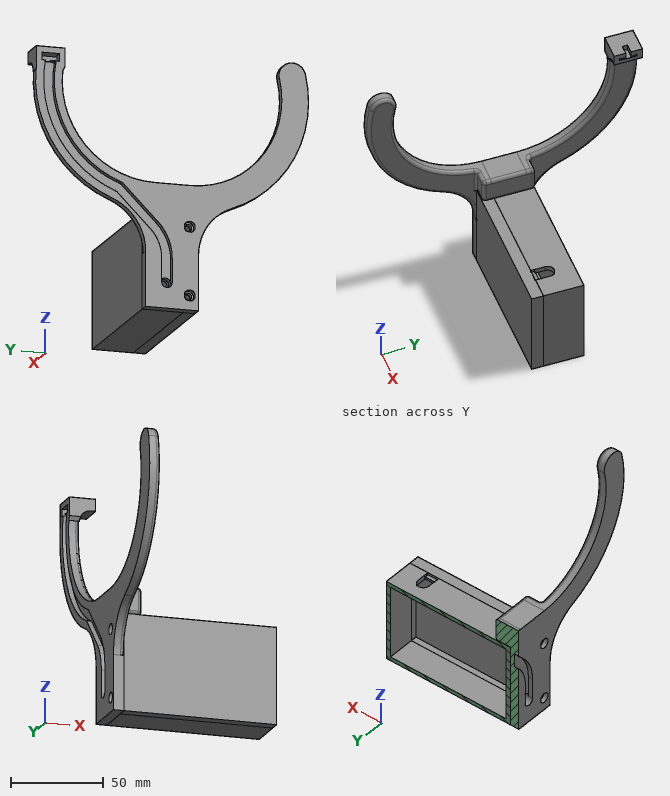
import cadquery as cq
import math


PLATE_THICKNESS = 6.0
STEM_WIDTH = 30.0
TOTAL_WIDTH = 154.5
TOTAL_HEIGHT = 142.7
ARC_CENTER_Y = 10.0
ARC_CENTER_Z = 121.5
INNER_RADIUS = 52.0
STEM_FILLET = 30.0
EDGE_ROUND = 2.0

PAD_REACH = 16.0
PAD_CORNER_FILLET = 1.5

HEAD_REACH = 14.8
HEAD_INNER_Y = 60.5
HEAD_OUTER_Y = 76.8
HEAD_TOP_Z = 140.0
HEAD_LIP_Z = 133.3
HEAD_FILLET = 6.0
HEAD_CORNER_WIDTH = 1.2
HEAD_CORNER_HEIGHT = 2.3
NOTCH_WIDTH = 3.0
NOTCH_DEPTH = 5.4
POCKET_WIDTH = 9.9
POCKET_BOTTOM_Z = 132.5
POCKET_TOP_Z = 136.7
POCKET_DEPTH = 4.0
SLIT_HEIGHT = 1.0

GROOVE_WIDTH = 6.0
GROOVE_DEPTH = 3.0
GROOVE_START_Y = 3.0
GROOVE_START_Z = 14.5
GROOVE_BEND_RADIUS = 25.0
GROOVE_KINK_Y = 29.8

SCREW_Y = -10.0
SCREW_LOW_Z = 8.2
SCREW_HIGH_Z = 46.5
SCREW_HEAD_DIAMETER = 6.0
SCREW_HEAD_DEPTH = 3.0
SCREW_CLEARANCE_DIAMETER = 4.0
SCREW_THREAD_DIAMETER = 3.5
SCREW_THREAD_DEPTH = 10.0

TOTAL_DEPTH = 92.3
BOX_HEIGHT = 54.5
BOX_WALL = 3.0
COVER_THICKNESS = 6.8
COVER_FLOOR = 5.3
LIP_HEIGHT = 2.3
TOP_SLOT_WIDTH = 7.5
TOP_SLOT_X = 76.0
TOP_SLOT_CENTER_Y = 0.2

TINY = 0.02

STEM_HALF = STEM_WIDTH / 2
OUTER_RADIUS = TOTAL_WIDTH / 2 - ARC_CENTER_Y
MID_RADIUS = (INNER_RADIUS + OUTER_RADIUS) / 2
TIP_RADIUS = (OUTER_RADIUS - INNER_RADIUS) / 2
TIP_ANGLE = math.asin((TOTAL_HEIGHT - TIP_RADIUS - ARC_CENTER_Z) / MID_RADIUS)
NECK_DISTANCE = OUTER_RADIUS + STEM_FILLET
NECK_ANGLE = -math.acos((STEM_HALF + STEM_FILLET - ARC_CENTER_Y) / NECK_DISTANCE)
STEM_TOP_Z = ARC_CENTER_Z + NECK_DISTANCE * math.sin(NECK_ANGLE)
CRADLE_Z = ARC_CENTER_Z - INNER_RADIUS
HEAD_BOTTOM_Z = HEAD_LIP_Z - HEAD_FILLET
HEAD_CENTER_Y = (HEAD_INNER_Y + HEAD_OUTER_Y) / 2
SLIT_BOTTOM_Z = POCKET_TOP_Z - SLIT_HEIGHT
SPLIT_Y = COVER_THICKNESS - STEM_HALF
LIP_TOP_Y = SPLIT_Y + LIP_HEIGHT
LIP_INSET = BOX_WALL / 2


def arm_point(radius, angle, side):
    """Point (Y, Z) on an arm; the angle is taken from the arm's outward horizontal."""
    y = side * (ARC_CENTER_Y + radius * math.cos(angle))
    return y, ARC_CENTER_Z + radius * math.sin(angle)


def block(x_range, y_range, z_range):
    """Axis-aligned box between the given limits."""
    limits = (x_range, y_range, z_range)
    size = [high - low for low, high in limits]
    start = [low for low, high in limits]
    return cq.Workplane("XY").box(*size, centered=False).translate(tuple(start))


def cylinder_x(diameter, y, z, x_start, length):
    """Round bar along X."""
    return cq.Workplane("YZ", origin=(x_start, y, z)).circle(diameter / 2).extrude(length)




def arms_blank():
    """Both arms and their necks, before rounding; the +Y arm stops where the head begins."""
    half_turn = math.pi + NECK_ANGLE / 2
    fillet_mid_y = STEM_HALF + STEM_FILLET + STEM_FILLET * math.cos(half_turn)
    fillet_mid_z = STEM_TOP_Z + STEM_FILLET * math.sin(half_turn)

    outer_end = math.asin((HEAD_BOTTOM_Z - ARC_CENTER_Z) / OUTER_RADIUS)
    inner_end = math.asin((HEAD_BOTTOM_Z - ARC_CENTER_Z) / INNER_RADIUS)
    tip_center = arm_point(MID_RADIUS, TIP_ANGLE, -1)
    tip_crown = (
        tip_center[0] + TIP_RADIUS * math.sin(TIP_ANGLE),
        tip_center[1] + TIP_RADIUS * math.cos(TIP_ANGLE),
    )
    mid_angle = -math.pi / 4
    return (
        cq.Workplane("YZ")
        .moveTo(-STEM_HALF, STEM_TOP_Z)
        .lineTo(STEM_HALF, STEM_TOP_Z)
        .threePointArc((fillet_mid_y, fillet_mid_z), arm_point(OUTER_RADIUS, NECK_ANGLE, 1))
        .threePointArc(arm_point(OUTER_RADIUS, NECK_ANGLE / 2, 1), arm_point(OUTER_RADIUS, outer_end, 1))
        .lineTo(*arm_point(INNER_RADIUS, inner_end, 1))
        .threePointArc(arm_point(INNER_RADIUS, mid_angle, 1), (ARC_CENTER_Y, CRADLE_Z))
        .lineTo(-ARC_CENTER_Y, CRADLE_Z)
        .threePointArc(arm_point(INNER_RADIUS, mid_angle, -1), arm_point(INNER_RADIUS, TIP_ANGLE, -1))
        .threePointArc(tip_crown, arm_point(OUTER_RADIUS, TIP_ANGLE, -1))
        .threePointArc(arm_point(OUTER_RADIUS, NECK_ANGLE / 2, -1), arm_point(OUTER_RADIUS, NECK_ANGLE, -1))
        .threePointArc((-fillet_mid_y, fillet_mid_z), (-STEM_HALF, STEM_TOP_Z))
        .close()
        .extrude(PLATE_THICKNESS)
    )


def pad_blank():
    """Rest pad whose top follows the cradle."""
    pad_rise = INNER_RADIUS - math.sqrt(INNER_RADIUS**2 - (STEM_HALF - ARC_CENTER_Y) ** 2)
    half_y = (STEM_HALF + ARC_CENTER_Y) / 2
    half_rise = INNER_RADIUS - math.sqrt(INNER_RADIUS**2 - (half_y - ARC_CENTER_Y) ** 2)
    return (
        cq.Workplane("YZ")
        .moveTo(-STEM_HALF, BOX_HEIGHT)
        .lineTo(STEM_HALF, BOX_HEIGHT)
        .lineTo(STEM_HALF, CRADLE_Z + pad_rise)
        .threePointArc((half_y, CRADLE_Z + half_rise), (ARC_CENTER_Y, CRADLE_Z))
        .lineTo(-ARC_CENTER_Y, CRADLE_Z)
        .threePointArc((-half_y, CRADLE_Z + half_rise), (-STEM_HALF, CRADLE_Z + pad_rise))
        .close()
        .extrude(PAD_REACH)
    )


def rounded_arms():
    """Arms and pad with rounded front edges."""
    arms = arms_blank().union(pad_blank())
    corners = cq.selectors.BoxSelector(
        (PLATE_THICKNESS - TINY, -STEM_HALF - TINY, BOX_HEIGHT),
        (PLATE_THICKNESS + TINY, STEM_HALF + TINY, CRADLE_Z + EDGE_ROUND),
    )
    arms = arms.edges(corners).edges("|Z").fillet(PAD_CORNER_FILLET)
    plate_front = cq.selectors.BoxSelector(
        (PLATE_THICKNESS - TINY, -TOTAL_WIDTH, 0),
        (PLATE_THICKNESS + TINY, TOTAL_WIDTH, TOTAL_HEIGHT),
    )
    plate_arcs = arms.edges(plate_front).edges("%CIRCLE")
    pad_sides = cq.selectors.BoxSelector(
        (PLATE_THICKNESS + TINY, -TOTAL_WIDTH, CRADLE_Z),
        (PAD_REACH - TINY, TOTAL_WIDTH, TOTAL_HEIGHT),
    )
    cradle_seams = cq.selectors.BoxSelector(
        (PLATE_THICKNESS, -ARC_CENTER_Y - TINY, 0),
        (PAD_REACH - TINY, ARC_CENTER_Y + TINY, TOTAL_HEIGHT),
    )
    pad_top_sides = arms.edges(pad_sides - cradle_seams).edges("not |Z")
    pad_front = arms.faces(">X").edges("not <Z")
    arms = plate_arcs.add(pad_top_sides).add(pad_front).fillet(EDGE_ROUND)
    return arms.cut(pad_underside_cut())


def pad_underside_cut():
    """Material taken off to round the bottom edges of the pad, in front of its corner fillets."""
    pad_width = (-STEM_HALF, STEM_HALF)
    layer = block(
        (PLATE_THICKNESS + PAD_CORNER_FILLET, PAD_REACH), pad_width, (BOX_HEIGHT, BOX_HEIGHT + EDGE_ROUND)
    )
    rounded_pad = block((0, PAD_REACH), pad_width, (BOX_HEIGHT, CRADLE_Z))
    rounded_pad = rounded_pad.edges("(>X and |Z) or (<Z and (not <X))").fillet(EDGE_ROUND)
    return layer.cut(rounded_pad)


def stem():
    """Lower part of the plate, with sharp edges."""
    return block((0, PLATE_THICKNESS), (-STEM_HALF, STEM_HALF), (0, STEM_TOP_Z))


def head():
    """Overhanging head with a concave underside and a bevelled inner lower corner."""
    middle = math.sqrt(0.5) * HEAD_FILLET
    arc_center_x = PLATE_THICKNESS + HEAD_FILLET
    solid = (
        cq.Workplane("XZ", origin=(0, HEAD_OUTER_Y, 0))
        .moveTo(0, HEAD_BOTTOM_Z)
        .lineTo(PLATE_THICKNESS, HEAD_BOTTOM_Z)
        .threePointArc((arc_center_x - middle, HEAD_BOTTOM_Z + middle), (arc_center_x, HEAD_LIP_Z))
        .lineTo(HEAD_REACH, HEAD_LIP_Z)
        .lineTo(HEAD_REACH, HEAD_TOP_Z)
        .lineTo(0, HEAD_TOP_Z)
        .close()
        .extrude(HEAD_OUTER_Y - HEAD_INNER_Y)
    )
    bevel = (
        cq.Workplane("YZ")
        .moveTo(HEAD_INNER_Y, HEAD_BOTTOM_Z)
        .lineTo(HEAD_INNER_Y + HEAD_CORNER_WIDTH, HEAD_BOTTOM_Z)
        .lineTo(HEAD_INNER_Y, HEAD_BOTTOM_Z + HEAD_CORNER_HEIGHT)
        .close()
        .extrude(HEAD_REACH)
    )
    return solid.cut(bevel)


def head_openings():
    """Pocket in the back of the head, the slit through it, and the notch down to the slit."""
    half_pocket = POCKET_WIDTH / 2
    pocket_y = (HEAD_CENTER_Y - half_pocket, HEAD_CENTER_Y + half_pocket)
    pocket = block((0, POCKET_DEPTH), pocket_y, (POCKET_BOTTOM_Z, POCKET_TOP_Z))
    slit = block((0, HEAD_REACH), pocket_y, (SLIT_BOTTOM_Z, POCKET_TOP_Z))
    notch = block(
        (HEAD_REACH - NOTCH_DEPTH, HEAD_REACH),
        (HEAD_CENTER_Y - NOTCH_WIDTH / 2, HEAD_CENTER_Y + NOTCH_WIDTH / 2),
        (SLIT_BOTTOM_Z, HEAD_TOP_Z),
    )
    return pocket.union(slit).union(notch)


def cable_groove():
    """Groove that climbs the stem, slants to the +Y arm and follows its middle to the head."""
    kink_angle = -math.acos((GROOVE_KINK_Y - ARC_CENTER_Y) / MID_RADIUS)
    kink_y, kink_z = arm_point(MID_RADIUS, kink_angle, 1)
    end_angle = math.asin((POCKET_BOTTOM_Z - ARC_CENTER_Z) / MID_RADIUS)
    corner_z = kink_z - (kink_y - GROOVE_START_Y)
    blend = GROOVE_BEND_RADIUS * math.tan(math.pi / 8)
    bend_end_y = GROOVE_START_Y + blend * math.sqrt(0.5)
    bend_end_z = corner_z + blend * math.sqrt(0.5)
    bend_mid_y = GROOVE_START_Y + GROOVE_BEND_RADIUS * (1 - math.cos(math.pi / 8))
    bend_mid_z = corner_z - blend + GROOVE_BEND_RADIUS * math.sin(math.pi / 8)
    lower_path = (
        cq.Workplane("YZ")
        .moveTo(GROOVE_START_Y, GROOVE_START_Z)
        .lineTo(GROOVE_START_Y, corner_z - blend)
        .threePointArc((bend_mid_y, bend_mid_z), (bend_end_y, bend_end_z))
        .lineTo(kink_y, kink_z)
    )
    lower = (
        cq.Workplane("XY", origin=(GROOVE_DEPTH / 2, GROOVE_START_Y, GROOVE_START_Z))
        .rect(GROOVE_DEPTH, GROOVE_WIDTH)
        .sweep(lower_path)
    )
    inner = MID_RADIUS - GROOVE_WIDTH / 2
    outer = MID_RADIUS + GROOVE_WIDTH / 2
    mid_angle = (kink_angle + end_angle) / 2
    upper = (
        cq.Workplane("YZ")
        .moveTo(*arm_point(inner, kink_angle, 1))
        .threePointArc(arm_point(inner, mid_angle, 1), arm_point(inner, end_angle, 1))
        .lineTo(*arm_point(outer, end_angle, 1))
        .threePointArc(arm_point(outer, mid_angle, 1), arm_point(outer, kink_angle, 1))
        .close()
        .extrude(GROOVE_DEPTH)
    )
    kink = cylinder_x(GROOVE_WIDTH, kink_y, kink_z, 0, GROOVE_DEPTH)
    return lower.union(upper).union(kink)


def cable_hole():
    """Hole from the foot of the groove, through the plate and the end wall of the box."""
    return cylinder_x(GROOVE_WIDTH, GROOVE_START_Y, GROOVE_START_Z, 0, PLATE_THICKNESS + BOX_WALL)


def make_bracket():
    """Stem, arms, pad and head in one piece, with the cable groove and the screw holes."""
    bracket = rounded_arms().union(stem()).union(head())
    bracket = bracket.cut(head_openings()).cut(cable_groove()).cut(cable_hole())
    for z in (SCREW_LOW_Z, SCREW_HIGH_Z):
        bracket = bracket.cut(cylinder_x(SCREW_HEAD_DIAMETER, SCREW_Y, z, 0, SCREW_HEAD_DEPTH))
        bracket = bracket.cut(cylinder_x(SCREW_CLEARANCE_DIAMETER, SCREW_Y, z, 0, PLATE_THICKNESS))
    return bracket




def shell_block(inset, y_low, y_high):
    """Block with the outline of the box in X and Z, moved in by the inset on all four sides."""
    return block(
        (PLATE_THICKNESS + inset, TOTAL_DEPTH - inset),
        (y_low, y_high),
        (inset, BOX_HEIGHT - inset),
    )


def make_box():
    """Box open towards -Y, with a rebate round its mouth for the lip of the cover."""
    box = shell_block(0, SPLIT_Y, STEM_HALF)
    box = box.cut(shell_block(BOX_WALL, SPLIT_Y, STEM_HALF - BOX_WALL))
    box = box.cut(shell_block(LIP_INSET, SPLIT_Y, LIP_TOP_Y))
    slot_round = (
        cq.Workplane("XY", origin=(TOP_SLOT_X, TOP_SLOT_CENTER_Y, BOX_HEIGHT - BOX_WALL))
        .circle(TOP_SLOT_WIDTH / 2)
        .extrude(BOX_WALL)
    )
    slot_straight = block(
        (TOP_SLOT_X - TOP_SLOT_WIDTH / 2, TOP_SLOT_X + TOP_SLOT_WIDTH / 2),
        (SPLIT_Y, TOP_SLOT_CENTER_Y),
        (BOX_HEIGHT - BOX_WALL, BOX_HEIGHT),
    )
    return box.cut(slot_round).cut(slot_straight).cut(cable_hole())


def make_cover():
    """Cover on the -Y side, hollowed to its floor, with a lip that enters the box."""
    cover = shell_block(0, -STEM_HALF, SPLIT_Y)
    cover = cover.union(shell_block(LIP_INSET, SPLIT_Y, LIP_TOP_Y))
    cover = cover.cut(shell_block(BOX_WALL, COVER_FLOOR - STEM_HALF, LIP_TOP_Y))
    for z in (SCREW_LOW_Z, SCREW_HIGH_Z):
        cover = cover.cut(
            cylinder_x(SCREW_THREAD_DIAMETER, SCREW_Y, z, PLATE_THICKNESS, SCREW_THREAD_DEPTH)
        )
    return cover


bracket = make_bracket()
box = make_box()
cover = make_cover()

result = cq.Compound.makeCompound([bracket.val(), box.val(), cover.val()])